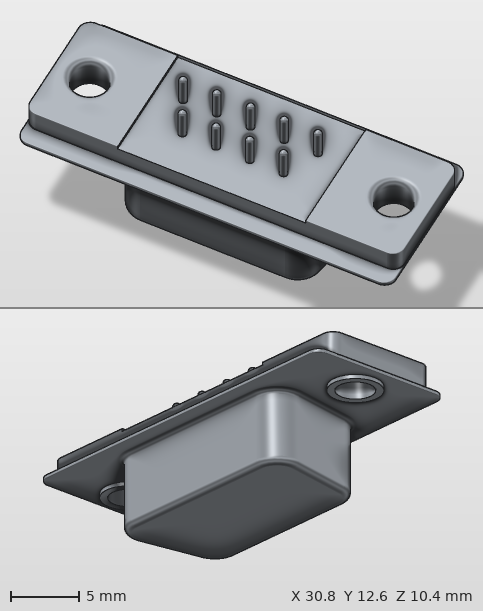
import cadquery as cq
import math

TOTAL_HEIGHT = 10.4

FLANGE_LENGTH = 30.8
FLANGE_WIDTH = 12.55
FLANGE_THICKNESS = 0.3
CORNER_RADIUS = 0.95
EDGE_FILLET = 0.05

BLOCK_WIDTH = 9.75
BLOCK_HEIGHT = 1.82
RECESS_LENGTH = 15.47
RECESS_DEPTH = 0.25

SHELL_LENGTH = 17.85
SHELL_WIDTH = 9.37
SHELL_HEIGHT = 5.98
SHELL_CORNER_RADIUS = 2.0
SHELL_SLANT = 10.0
RIM_FILLET = 0.55
FLARE_FILLET = 0.43

EYELET_SPACING = 25.02
EYELET_DIAMETER = 4.2
EYELET_BORE = 3.0
EYELET_DROP = 0.35

PIN_DIAMETER = 0.65
TIP_FILLET = 0.3
PIN_PITCH = 2.77
ROW_SPACING = 2.83
BACK_ROW_COUNT = 5
FRONT_ROW_COUNT = 4

block_top = FLANGE_THICKNESS + BLOCK_HEIGHT
recess_floor = block_top - RECESS_DEPTH
pin_top = TOTAL_HEIGHT - SHELL_HEIGHT


def rounded_plate(length, width, bottom, height):
    """Plate with rounded vertical corners and softened top and bottom rims, starting at the given Z."""
    plate = cq.Workplane("XY", origin=(0, 0, bottom)).rect(length, width).extrude(height)
    rounded = plate.edges("|Z").fillet(CORNER_RADIUS)
    return rounded.faces("<Z or >Z").edges().fillet(EDGE_FILLET)


def insulator_block():
    block = rounded_plate(FLANGE_LENGTH, BLOCK_WIDTH, FLANGE_THICKNESS, BLOCK_HEIGHT)
    recess = (
        cq.Workplane("XY", origin=(0, 0, recess_floor))
        .rect(RECESS_LENGTH, BLOCK_WIDTH)
        .extrude(RECESS_DEPTH)
    )
    return block.cut(recess)


def d_shell():
    """Trapezoid with rounded corners and a rounded lower rim."""
    slant = math.radians(SHELL_SLANT)
    half_width = SHELL_WIDTH / 2
    corner_setback = SHELL_CORNER_RADIUS * (math.tan((math.pi / 2 + slant) / 2) - 1)
    wide_half = SHELL_LENGTH / 2 + corner_setback
    narrow_half = wide_half - SHELL_WIDTH * math.tan(slant)
    return (
        cq.Workplane("XY")
        .polyline([
            (-wide_half, half_width),
            (wide_half, half_width),
            (narrow_half, -half_width),
            (-narrow_half, -half_width),
        ])
        .close()
        .extrude(-SHELL_HEIGHT)
        .edges("|Z")
        .fillet(SHELL_CORNER_RADIUS)
        .faces("<Z")
        .edges()
        .fillet(RIM_FILLET)
    )


def flange_with_shell():
    """Flange plate with the shell flaring smoothly into its underside."""
    body = rounded_plate(FLANGE_LENGTH, FLANGE_WIDTH, 0, FLANGE_THICKNESS).union(d_shell())
    reach_x = SHELL_LENGTH / 2
    reach_y = SHELL_WIDTH / 2 + EDGE_FILLET
    shell_root = cq.selectors.BoxSelector(
        (-reach_x, -reach_y, -EDGE_FILLET),
        (reach_x, reach_y, EDGE_FILLET),
    )
    return body.edges(shell_root).fillet(FLARE_FILLET)


def eyelet_pad(x):
    return cq.Workplane("XY").center(x, 0).circle(EYELET_DIAMETER / 2).extrude(-EYELET_DROP)


def eyelet_opening(x):
    """Through bore with a rounded mouth on the top face."""
    bore = EYELET_BORE / 2
    mouth = EYELET_DIAMETER / 2
    mouth_radius = mouth - bore
    mid = mouth_radius * math.sqrt(0.5)
    return (
        cq.Workplane("XZ")
        .moveTo(0, -EYELET_DROP)
        .lineTo(bore, -EYELET_DROP)
        .lineTo(bore, block_top - mouth_radius)
        .threePointArc(
            (mouth - mid, block_top - mouth_radius + mid),
            (mouth, block_top),
        )
        .lineTo(0, block_top)
        .close()
        .revolve(360, (0, 0, 0), (0, 1, 0))
        .translate((x, 0, 0))
    )


def pin_row(count, y):
    """Row of round-tipped pins centred on X."""
    pins = (
        cq.Workplane("XY", origin=(0, y, FLANGE_THICKNESS))
        .rarray(PIN_PITCH, 0.3, count, 1)
        .circle(PIN_DIAMETER / 2)
        .extrude(pin_top - FLANGE_THICKNESS)
    )
    return pins.faces(">Z").edges().fillet(TIP_FILLET)


result = flange_with_shell().union(insulator_block())
for side in (-1, 1):
    eyelet_x = side * EYELET_SPACING / 2
    result = result.union(eyelet_pad(eyelet_x)).cut(eyelet_opening(eyelet_x))
result = result.union(pin_row(BACK_ROW_COUNT, ROW_SPACING / 2))
result = result.union(pin_row(FRONT_ROW_COUNT, -ROW_SPACING / 2))